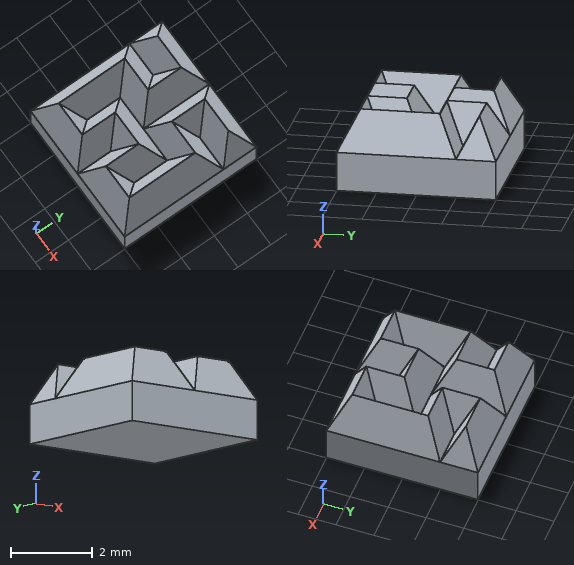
import cadquery as cq

side = 4.0
cells_per_side = 4
cell = side / cells_per_side
base_height = 1.0
ridge_height = 1.0
overlap = base_height / 2

ridge_path = [
    (0, 3), (1, 3), (1, 2), (0, 2), (0, 0), (1, 0), (1, 1),
    (2, 1), (2, 0), (3, 0), (3, 2), (2, 2), (2, 3), (3, 3),
]


def cell_center(position):
    """Place of a cell's centre, measured from the middle of the square."""
    return (position + 0.5) * cell - side / 2


def gable(plane, first, last, low, high):
    """Prism whose sides slope in from the cell edges to the ridge between first and last."""
    left = first - cell / 2
    right = last + cell / 2
    outline = [(left, -overlap), (right, -overlap), (right, 0), (last, ridge_height)]
    if first < last:
        outline.append((first, ridge_height))
    outline.append((left, 0))
    profile = cq.Workplane(plane).polyline(outline).close().extrude(high - low)
    shift = (0, high, base_height) if plane == "XZ" else (low, 0, base_height)
    return profile.translate(shift)


def hipped_ridge(start, end):
    """One straight ridge, sloping down on both sides and at both ends."""
    x_first, x_last = sorted(cell_center(point[0]) for point in (start, end))
    y_first, y_last = sorted(cell_center(point[1]) for point in (start, end))
    reach = cell / 2
    along_x = gable("XZ", x_first, x_last, y_first - reach, y_last + reach)
    along_y = gable("YZ", y_first, y_last, x_first - reach, x_last + reach)
    return along_x.intersect(along_y)


result = cq.Workplane("XY").box(side, side, base_height, centered=(True, True, False))
for start, end in zip(ridge_path, ridge_path[1:]):
    result = result.union(hipped_ridge(start, end))
result = result.clean()